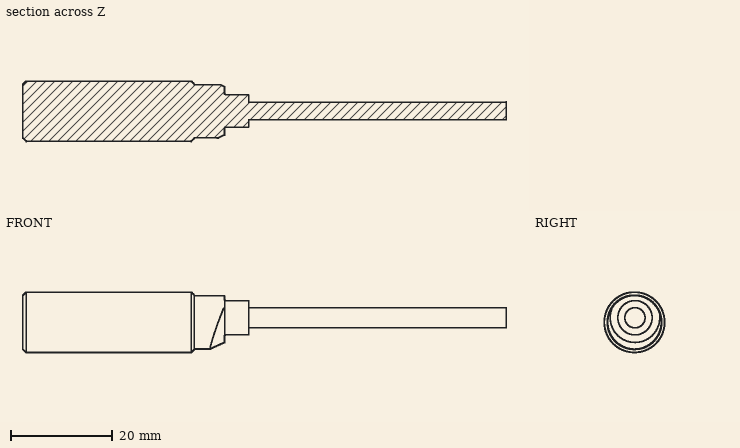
import cadquery as cq
import math

total_length = 95.8
body_end = 34.0
collar_end = 40.0
neck_end = 44.8

body_diameter = 12.0
collar_diameter = 10.6
neck_diameter = 6.8
cable_diameter = 4.0

front_chamfer = 0.7
rear_chamfer = 0.6
rim_round = 0.2
neck_base_round = 0.2

cable_axis_height = 0.9
cable_axis_shift = 0.1
cable_axis_offset = math.hypot(cable_axis_shift, cable_axis_height)

bevel_start = 37.1
bevel_end_diameter = 9.8


def cylinder(diameter, start, end, axis_shift=0.0, axis_height=0.0):
    """Cylinder along X between two stations, with its axis at the given Y and Z."""
    section = cq.Workplane("YZ", origin=(start, axis_shift, axis_height)).circle(diameter / 2)
    return section.extrude(end - start)


def make_body():
    body = cylinder(body_diameter, 0, body_end)
    body = body.faces("<X").chamfer(front_chamfer)
    return body.faces(">X").chamfer(rear_chamfer)


def make_collar():
    """Collar whose rear part is trimmed by a cone on the raised neck axis.

    The cone starts tangent to the underside of the collar, so it trims the
    lower side and leaves the top at full diameter.
    """
    straight_part = cylinder(collar_diameter, body_end, bevel_start)
    rear_part = cylinder(collar_diameter, bevel_start, collar_end).faces(">X").edges().fillet(rim_round)
    start_radius = collar_diameter / 2 + cable_axis_offset
    cone = (
        cq.Workplane("YZ", origin=(bevel_start, cable_axis_shift, cable_axis_height))
        .circle(start_radius)
        .workplane(offset=collar_end - bevel_start)
        .circle(bevel_end_diameter / 2)
        .loft()
    )
    return straight_part.union(rear_part.intersect(cone))


def make_neck():
    """Neck with a rounded rear rim and a small concave flare where it meets the collar."""
    neck = cylinder(neck_diameter, collar_end, neck_end, cable_axis_shift, cable_axis_height)
    neck = neck.faces(">X").edges().fillet(rim_round)
    neck_radius = neck_diameter / 2
    flare_radius = neck_radius + neck_base_round
    corner = neck_base_round * (1 - math.sqrt(0.5))
    flare = (
        cq.Workplane("XY")
        .moveTo(0, 0)
        .lineTo(0, flare_radius)
        .threePointArc((corner, neck_radius + corner), (neck_base_round, neck_radius))
        .lineTo(neck_base_round, 0)
        .close()
        .revolve(360, (0, 0, 0), (1, 0, 0))
        .translate((collar_end, cable_axis_shift, cable_axis_height))
    )
    return neck.union(flare)


def make_cable():
    return cylinder(cable_diameter, neck_end, total_length, cable_axis_shift, cable_axis_height)


result = make_body().union(make_collar()).union(make_neck()).union(make_cable())